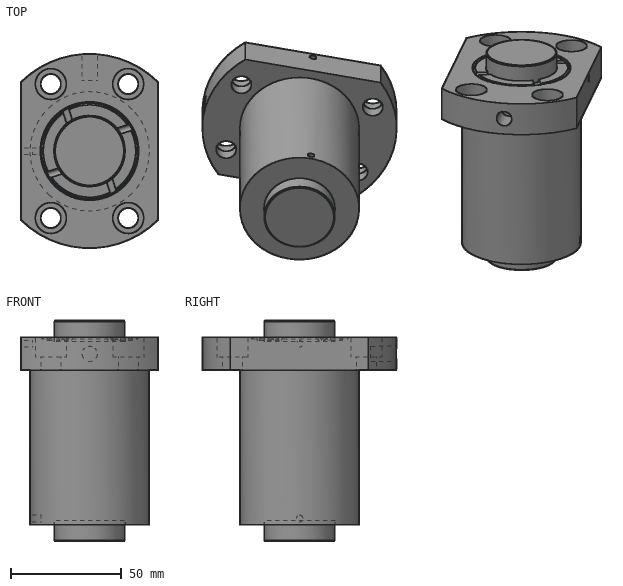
import cadquery as cq
import math

TOTAL_LENGTH = 100.0
SHAFT_DIAMETER = 32.0
SHAFT_PROJECTION = 7.5
SHAFT_CHAMFER = 0.5

BODY_DIAMETER = 54.0
FLANGE_DIAMETER = 88.0
FLANGE_WIDTH = 62.0
FLANGE_THICKNESS = 15.0
BODY_BOTTOM = SHAFT_PROJECTION
FLANGE_TOP = TOTAL_LENGTH - SHAFT_PROJECTION
FLANGE_BOTTOM = FLANGE_TOP - FLANGE_THICKNESS

BOLT_CIRCLE_DIAMETER = 70.0
BOLT_ANGLE = 60.0
BOLT_HOLE_DIAMETER = 9.0
COUNTERBORE_DIAMETER = 14.0
COUNTERBORE_DEPTH = 9.0

CLEARANCE_DIAMETER = 32.2
CLEARANCE_DEPTH = 2.0

RING_DIAMETER = 43.4
FLANGE_BEVEL = 0.6
RING_BEVEL = 0.8
V_GROOVE_DEPTH = 0.7
OIL_GROOVE_DIAMETER = 3.0
OIL_GROOVE_COUNT = 4
OIL_GROOVE_ANGLE = 18.0
OIL_GROOVE_OFFSET = 4.5

PIN_HOLE_DIAMETER = 3.0
PIN_HOLE_DEPTH = 5.0
PIN_HOLE_INSET = 3.0
PORT_DIAMETER = 6.9
PORT_DEPTH = 12.0


def cylinder(diameter, bottom, top):
    return cq.Workplane("XY").workplane(offset=bottom).circle(diameter / 2).extrude(top - bottom)


def radial_hole(diameter, outer_radius, depth, z, direction):
    """Blind hole entering horizontally at outer_radius, on the side given by direction."""
    entry = direction * outer_radius + cq.Vector(0, 0, z)
    return cq.Workplane(cq.Solid.makeCylinder(diameter / 2, depth, entry, -direction))


def make_body():
    flange = cylinder(FLANGE_DIAMETER, FLANGE_BOTTOM, FLANGE_TOP)
    flange_sides = (
        cq.Workplane("XY")
        .workplane(offset=FLANGE_BOTTOM)
        .rect(FLANGE_WIDTH, FLANGE_DIAMETER)
        .extrude(FLANGE_THICKNESS)
    )
    barrel = cylinder(BODY_DIAMETER, BODY_BOTTOM, FLANGE_TOP)
    return flange.intersect(flange_sides).union(barrel)


def cut_mounting_holes(body):
    bolt_x = BOLT_CIRCLE_DIAMETER / 2 * math.cos(math.radians(BOLT_ANGLE))
    bolt_y = BOLT_CIRCLE_DIAMETER / 2 * math.sin(math.radians(BOLT_ANGLE))
    return (
        body.faces(">Z")
        .workplane(origin=(0, 0, FLANGE_TOP))
        .rect(2 * bolt_x, 2 * bolt_y, forConstruction=True)
        .vertices()
        .cboreHole(BOLT_HOLE_DIAMETER, COUNTERBORE_DIAMETER, COUNTERBORE_DEPTH)
    )


def make_v_groove():
    ring_radius = RING_DIAMETER / 2
    return (
        cq.Workplane("XZ")
        .moveTo(ring_radius - RING_BEVEL, FLANGE_TOP)
        .lineTo(ring_radius, FLANGE_TOP - V_GROOVE_DEPTH)
        .lineTo(ring_radius + FLANGE_BEVEL, FLANGE_TOP)
        .close()
        .revolve(360, (0, 0, 0), (0, 1, 0))
    )


def make_oil_grooves():
    """Grooves parallel to a radius but set off from it, ending at the edge of the ring."""
    ring = cylinder(RING_DIAMETER, FLANGE_TOP - OIL_GROOVE_DIAMETER, FLANGE_TOP + OIL_GROOVE_DIAMETER)
    start = cq.Vector(0, OIL_GROOVE_OFFSET, FLANGE_TOP)
    bar = cq.Workplane(
        cq.Solid.makeCylinder(OIL_GROOVE_DIAMETER / 2, RING_DIAMETER / 2, start, cq.Vector(1, 0, 0))
    )
    groove = bar.intersect(ring)
    grooves = cq.Workplane("XY")
    for index in range(OIL_GROOVE_COUNT):
        angle = OIL_GROOVE_ANGLE + index * 360 / OIL_GROOVE_COUNT
        grooves = grooves.add(groove.rotate((0, 0, 0), (0, 0, 1), angle))
    return grooves.combine()


def make_shaft():
    return cylinder(SHAFT_DIAMETER, 0, TOTAL_LENGTH).faces("<Z or >Z").chamfer(SHAFT_CHAMFER)


minus_x = cq.Vector(-1, 0, 0)
plus_y = cq.Vector(0, 1, 0)

body = cut_mounting_holes(make_body())
body = body.cut(make_v_groove()).cut(make_oil_grooves())
body = body.cut(
    radial_hole(PIN_HOLE_DIAMETER, FLANGE_WIDTH / 2, PIN_HOLE_DEPTH, FLANGE_TOP - PIN_HOLE_INSET, minus_x)
)
body = body.cut(
    radial_hole(PIN_HOLE_DIAMETER, BODY_DIAMETER / 2, PIN_HOLE_DEPTH, BODY_BOTTOM + PIN_HOLE_INSET, minus_x)
)
body = body.cut(
    radial_hole(PORT_DIAMETER, FLANGE_DIAMETER / 2, PORT_DEPTH, FLANGE_TOP - FLANGE_THICKNESS / 2, plus_y)
)
for clearance_bottom in (BODY_BOTTOM, FLANGE_TOP - CLEARANCE_DEPTH):
    body = body.cut(cylinder(CLEARANCE_DIAMETER, clearance_bottom, clearance_bottom + CLEARANCE_DEPTH))

result = body.union(make_shaft())